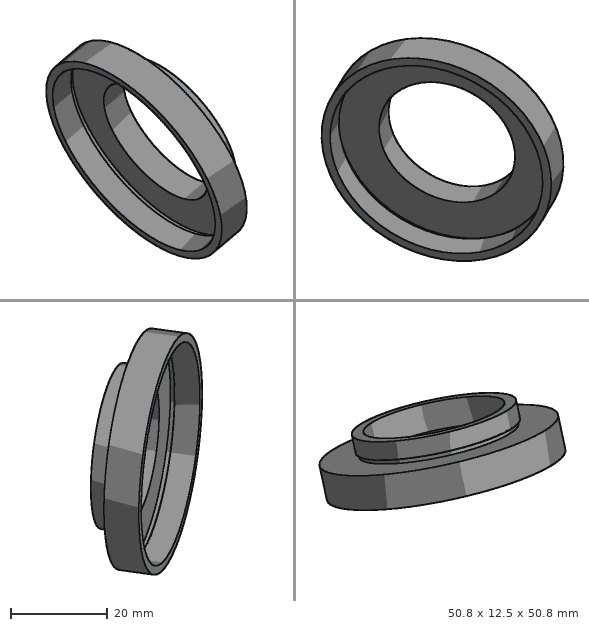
import cadquery as cq

flange_diameter = 50.8
recess_diameter = 47.0
relief_diameter = 48.0
bore_diameter = 30.0
collar_diameter = 35.0
neck_diameter = 34.0

total_length = 12.5
flange_length = 7.5
collar_length = 4.0
recess_depth = 6.5
relief_width = 1.0
neck_length = total_length - flange_length - collar_length


def disc(diameter, start, length):
    """Cylinder around the Y axis, from Y = start towards +Y."""
    axis_start = cq.Vector(0, start, 0)
    solid = cq.Solid.makeCylinder(diameter / 2, length, axis_start, cq.Vector(0, 1, 0))
    return cq.Workplane(obj=solid)


flange = disc(flange_diameter, 0, flange_length)
neck = disc(neck_diameter, flange_length, neck_length)
collar = disc(collar_diameter, flange_length + neck_length, collar_length)
body = flange.union(neck).union(collar)

recess = disc(recess_diameter, 0, recess_depth)
relief = disc(relief_diameter, recess_depth - relief_width, relief_width)
bore = disc(bore_diameter, 0, total_length)
result = body.cut(recess).cut(relief).cut(bore)